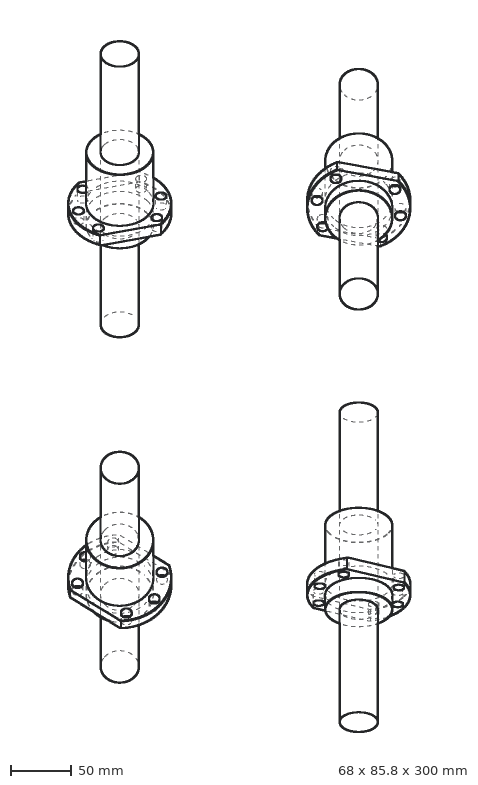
import cadquery as cq

SHAFT_LENGTH = 300.0
SHAFT_DIAMETER = 31.8

NUT_LENGTH = 82.0
NUT_DIAMETER = 55.8
NUT_EDGE_CHAMFER = 0.3
NUT_BOTTOM = -NUT_LENGTH / 2

FLANGE_DIAMETER = 85.8
FLANGE_WIDTH = 68.0
FLANGE_THICKNESS = 11.5
FLANGE_EDGE_CHAMFER = 0.45
COLLAR_BELOW_FLANGE = 13.8
FLANGE_BOTTOM = NUT_BOTTOM + COLLAR_BELOW_FLANGE

BOLT_HOLE_DIAMETER = 9.0
BOLT_CIRCLE_DIAMETER = 70.8
BOLT_HOLE_SPACING = 45.0
HOLES_PER_SIDE = 3
ROUND_SIDE_DIRECTIONS = (90.0, 270.0)


def cylinder(diameter, length, bottom):
    """Upright cylinder on the Z axis, starting at height `bottom`."""
    return cq.Workplane("XY", origin=(0, 0, bottom)).circle(diameter / 2).extrude(length)


def make_flange():
    """Chamfered disc trimmed by two flats, pierced by the bolt holes."""
    disc = cylinder(FLANGE_DIAMETER, FLANGE_THICKNESS, FLANGE_BOTTOM).edges().chamfer(FLANGE_EDGE_CHAMFER)
    flats = (
        cq.Workplane("XY", origin=(0, 0, FLANGE_BOTTOM))
        .rect(FLANGE_WIDTH, FLANGE_DIAMETER)
        .extrude(FLANGE_THICKNESS)
    )
    flange = disc.intersect(flats)
    sweep = BOLT_HOLE_SPACING * (HOLES_PER_SIDE - 1)
    for direction in ROUND_SIDE_DIRECTIONS:
        holes = (
            cq.Workplane("XY", origin=(0, 0, FLANGE_BOTTOM))
            .polarArray(BOLT_CIRCLE_DIAMETER / 2, direction - sweep / 2, sweep, HOLES_PER_SIDE)
            .circle(BOLT_HOLE_DIAMETER / 2)
            .extrude(FLANGE_THICKNESS)
        )
        flange = flange.cut(holes)
    return flange


def make_nut():
    """Flanged nut with a bore that fits the shaft."""
    barrel = cylinder(NUT_DIAMETER, NUT_LENGTH, NUT_BOTTOM).edges().chamfer(NUT_EDGE_CHAMFER)
    bore = cylinder(SHAFT_DIAMETER, NUT_LENGTH, NUT_BOTTOM)
    return barrel.union(make_flange()).cut(bore)


def make_shaft():
    """Plain round screw shaft."""
    return cylinder(SHAFT_DIAMETER, SHAFT_LENGTH, -SHAFT_LENGTH / 2)


nut = make_nut()
shaft = make_shaft()

result = cq.Compound.makeCompound([nut.val(), shaft.val()])